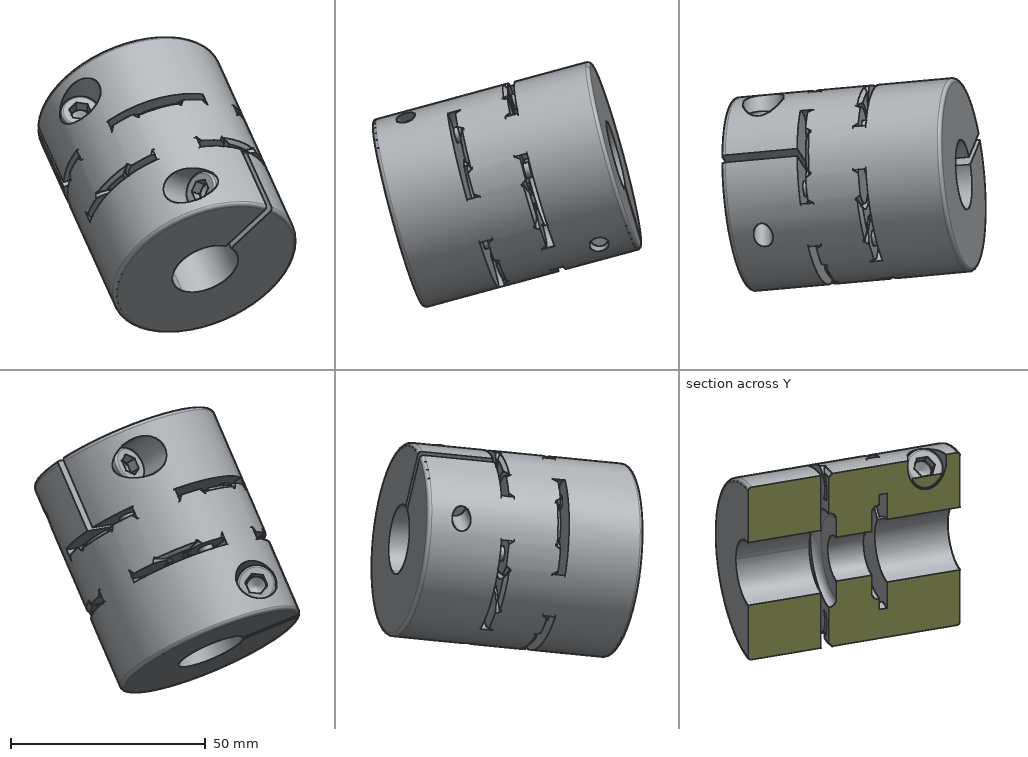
import cadquery as cq
import math


total_length = 58.0
outer_diameter = 50.0
hub_length = 20.0
rim_fillet = 1.0
trim_allowance = 0.6
blank_diameter = outer_diameter + 2 * trim_allowance
blank_radius = blank_diameter / 2
hub_bore_diameter = 18.0

hub_gap = 2.05
jaw_count = 4
leg_count = 2 * jaw_count
leg_pitch = 360 / leg_count
jaw_length = total_length - 2 * hub_length - hub_gap
jaw_tip_chamfer = 1.0
jaw_inner_radius = 16.5
spider_start = hub_length + hub_gap
spider_length = total_length - 2 * spider_start
spider_bore_diameter = 12.5
recess_diameter = 27.0
recess_depth = 2.1
recess_corner = 2.05
leg_center_radius = 20.6
leg_radius = 5.55
leg_chamfer_axial = 1.4
leg_chamfer_side = 0.45
nub_diameter = 4.0
nub_height = 1.55
nub_center_radius = 20.05

slit_width = 2.05
screw_x = 9.05
screw_y = -16.5
head_top_z = 13.9
head_diameter = 10.0
head_height = 6.0
head_seat_z = head_top_z - head_height
head_fillet = 0.6
shank_diameter = 6.0
shank_length = 20.0
counterbore_diameter = 10.5
clearance_diameter = 6.4
thread_hole_diameter = 5.0
socket_across_flats = 5.0
socket_across_corners = socket_across_flats / math.cos(math.radians(30))
socket_depth = 3.0
socket_cone_angle = 118


def rod(diameter, start, length):
    """Cylinder on the X axis."""
    return cq.Workplane("YZ", origin=(start, 0, 0)).circle(diameter / 2).extrude(length)


def offset_rod(radius, center_radius, angle, start, length):
    """Cylinder parallel to X, its center at a polar position in the YZ plane."""
    turn = math.radians(angle)
    center = (center_radius * math.cos(turn), center_radius * math.sin(turn))
    return cq.Workplane("YZ", origin=(start, 0, 0)).center(*center).circle(radius).extrude(length)


def turned(shape, angle):
    """Shape rotated about the X axis."""
    return shape.rotate((0, 0, 0), (1, 0, 0), angle)


def vertical_rod(diameter, bottom, top):
    """Cylinder along Z on the clamp screw axis."""
    plane = cq.Workplane("XY", origin=(screw_x, screw_y, bottom))
    return plane.circle(diameter / 2).extrude(top - bottom)


def make_jaw():
    """Jaw centered on +Y: a ring segment hollowed on both flanks by the leg cylinders."""
    blank = rod(blank_diameter, hub_length, jaw_length)
    blank = blank.faces(">X").edges().chamfer(jaw_tip_chamfer + trim_allowance)
    reach = blank_diameter
    spread = reach * math.tan(math.radians(leg_pitch / 2))
    wedge = (
        cq.Workplane("YZ", origin=(hub_length, 0, 0))
        .polyline([(0, 0), (reach, -spread), (reach, spread)])
        .close()
        .extrude(jaw_length)
    )
    jaw = blank.cut(rod(2 * jaw_inner_radius, hub_length, jaw_length)).intersect(wedge)
    for angle in (-leg_pitch / 2, leg_pitch / 2):
        jaw = jaw.cut(offset_rod(leg_radius, leg_center_radius, angle, hub_length, jaw_length))
    return jaw.faces(">X").edges("<Z or >Z").chamfer(jaw_tip_chamfer)


def make_screw():
    """Socket head cap screw with a hexagonal socket ending in a drilled cone."""
    head = vertical_rod(head_diameter, head_seat_z, head_top_z)
    head = head.faces(">Z").edges().fillet(head_fillet)
    shank = vertical_rod(shank_diameter, head_seat_z - shank_length, head_seat_z)
    socket_floor_z = head_top_z - socket_depth
    socket = (
        cq.Workplane("XY", origin=(screw_x, screw_y, socket_floor_z))
        .polygon(6, socket_across_corners)
        .extrude(socket_depth)
    )
    cone_radius = socket_across_flats / 2
    cone_depth = cone_radius / math.tan(math.radians(socket_cone_angle / 2))
    cone = cq.Workplane(
        cq.Solid.makeCone(
            cone_radius, 0, cone_depth,
            pnt=cq.Vector(screw_x, screw_y, socket_floor_z), dir=cq.Vector(0, 0, -1),
        )
    )
    return head.union(shank).cut(socket).cut(cone)


def make_hub():
    """Left-hand clamping hub with its jaws, bored for the clamp screw."""
    hub = rod(blank_diameter, 0, hub_length)
    hub = hub.cut(rod(hub_bore_diameter, 0, hub_length))

    slit = cq.Workplane("XY").box(
        hub_length, blank_radius, slit_width, centered=(False, False, True)
    )
    hub = hub.cut(slit.translate((0, -blank_radius, 0)))

    hub = hub.cut(vertical_rod(counterbore_diameter, head_seat_z, blank_radius))
    hub = hub.cut(vertical_rod(clearance_diameter, 0, head_seat_z))
    hub = hub.cut(vertical_rod(thread_hole_diameter, -blank_radius, 0))

    jaw = make_jaw()
    jaw_pitch = 360 / jaw_count
    for index in range(jaw_count):
        hub = hub.union(turned(jaw, (index + 0.5) * jaw_pitch))
    return hub


def make_spider():
    """Spider ring with eight legs; spacer nubs face the two hubs alternately."""
    spider_end = spider_start + spider_length
    spider = rod(2 * jaw_inner_radius, spider_start, spider_length)
    leg = offset_rod(leg_radius, leg_center_radius, 0, spider_start, spider_length)
    for end_face in ("<X", ">X"):
        leg = leg.faces(end_face).edges().chamfer(leg_chamfer_axial, leg_chamfer_side)

    for index in range(leg_count):
        angle = (index + 0.5) * leg_pitch
        spider = spider.union(turned(leg, angle))
        faces_left_hub = index % 2 == 0
        nub_start = spider_start - nub_height if faces_left_hub else spider_end
        spider = spider.union(
            offset_rod(nub_diameter / 2, nub_center_radius, angle, nub_start, nub_height)
        )
    spider = spider.cut(rod(spider_bore_diameter, spider_start, spider_length))

    left_recess = rod(recess_diameter, spider_start, recess_depth)
    right_recess = rod(recess_diameter, spider_end - recess_depth, recess_depth)
    spider = spider.cut(left_recess.faces(">X").edges().fillet(recess_corner))
    return spider.cut(right_recess.faces("<X").edges().fillet(recess_corner))


def on_right_side(shape):
    """Copy of a left-hand piece, turned end for end and meshed with the left jaws."""
    middle = total_length / 2
    return turned(shape.rotate((middle, 0, 0), (middle, 0, 1), 180), leg_pitch)


hub = make_hub()
coupling = hub.union(on_right_side(hub)).union(make_spider())

envelope = rod(outer_diameter, 0, total_length).edges().fillet(rim_fillet)
coupling = coupling.intersect(envelope)

screw = make_screw()
result = coupling.union(screw).union(on_right_side(screw))